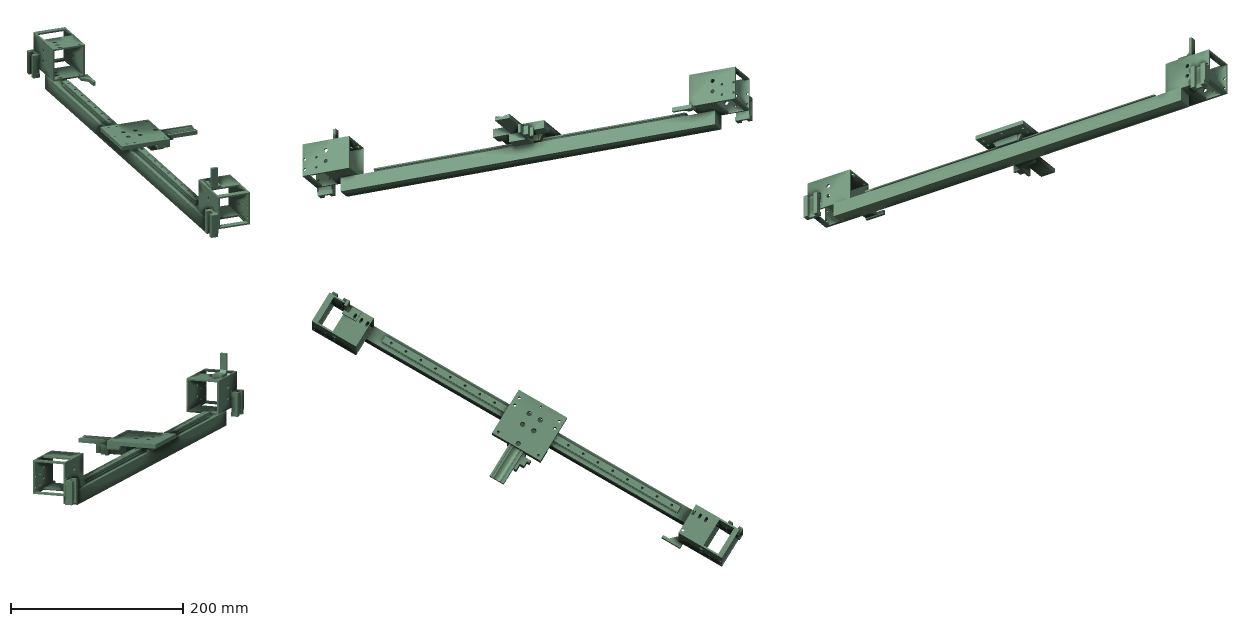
import cadquery as cq


BEAM_LENGTH = 480.0
BEAM_WIDTH = 18.0
BEAM_HEIGHT = 17.0

RAIL_LENGTH = 399.5
RAIL_WIDTH = 8.0
RAIL_HEIGHT = 6.5
RAIL_GROOVE_DEPTH = 1.0
RAIL_GROOVE_HEIGHT = 3.0
RAIL_HOLE_COUNT = 20
RAIL_HOLE_PITCH = 20.0
RAIL_HOLE_DIAMETER = 3.2
RAIL_TOP = BEAM_HEIGHT + RAIL_HEIGHT

CARRIAGE_TOP_LENGTH = 39.5
CARRIAGE_BOTTOM_LENGTH = 30.0
CARRIAGE_BODY_LENGTH = 29.0
CARRIAGE_WIDTH = 20.0
CARRIAGE_CLEARANCE = 2.0
CARRIAGE_HEIGHT = 8.0
CARRIAGE_CAP_INSET = 1.0
CARRIAGE_BOTTOM = BEAM_HEIGHT + CARRIAGE_CLEARANCE
CARRIAGE_TOP = CARRIAGE_BOTTOM + CARRIAGE_HEIGHT

PLATE_LENGTH = 65.5
PLATE_FRONT = -26.0
PLATE_BACK = 34.5
PLATE_THICKNESS = 5.0
PLATE_BACK_HOLE_Y = 30.0
PLATE_SIDE_HOLE_X = 27.0
PLATE_SIDE_HOLE_ROWS = (PLATE_BACK_HOLE_Y, -8.0, -18.0)
PLATE_SIDE_HOLE_DIAMETER = 3.2
PLATE_FRONT_HOLE_Y = -21.0
PLATE_FRONT_HOLE_DIAMETER = 2.5
PLATE_BOLT_SPACING = 15.0
PLATE_BOLT_DIAMETER = 6.0
PLATE_TOP = CARRIAGE_TOP + PLATE_THICKNESS

DOWNSTAND_BOTTOM = 22.0
DOWNSTAND_BLOCK_LENGTH = 24.5
DOWNSTAND_BLOCK_BOTTOM = 12.0
DOWNSTAND_DEPTH = 15.5

CHANNEL_WIDTH = 19.0
CHANNEL_GROOVE_WIDTH = 8.5

ARM_TIP = 79.0
ARM_THICKNESS = 5.0
ARM_GROOVE_RISE = 1.5
ARM_SLOT_WIDTH = 1.5
ARM_SLOT_DEPTH = 1.5
ARM_SLOT_X = 6.0

SWITCH_HEIGHT = 10.5
SWITCH_BOARD = ((-13.0, -9.5), (33.5, 56.0))
SWITCH_BODY = ((-18.5, -12.0), (40.5, 48.0))
SWITCH_LEG = ((-21.5, -12.0), (38.0, 41.0))

TUBE_SIZE = 40.0
TUBE_WALL = 2.0
TUBE_FRONT = -8.0
TUBE_INNER_X = 218.0
TUBE_OUTER_X = 277.0
TUBE_BACK = TUBE_FRONT + TUBE_SIZE
TUBE_TOP = BEAM_HEIGHT + TUBE_SIZE
TUBE_CENTER_Y = TUBE_FRONT + TUBE_SIZE / 2
TUBE_CENTER_Z = BEAM_HEIGHT + TUBE_SIZE / 2
TUBE_INSIDE = TUBE_SIZE - 2 * TUBE_WALL
WINDOW_LENGTH = 20.0
WINDOW_EDGE = 6.0
FLOOR_WINDOW_INSET = 1.0
SIDE_HOLE_X = 248.0
SIDE_HOLE_HEIGHTS = (31.0, 44.5)
SIDE_HOLE_DIAMETER = 5.0
TOP_SLOT_X = (221.0, 229.0, 237.5)
TOP_SLOT_Y = 2.0
TOP_SLOT_LENGTH = 6.5
SCREW_DIAMETER = 3.2

CLIP_DEPTH = 8.5
CLIP_BOTTOM = 7.0
CLIP_TOP = 35.5
CLIP_GROOVE_DEPTH = 5.0
CLIP_POCKET_DEPTH = 1.0
CLIP_POCKET_EDGE = 3.5
CLIP_POCKET_MARGIN = 5.0
CLIP_HOLE_SPACING = 15.0
CLIP_HOLE_HEIGHTS = (25.0, 38.0)
CLIP_CENTER_X = TUBE_OUTER_X - CHANNEL_WIDTH / 2

END_PLATE_THICKNESS = 1.0
END_LIP_BOTTOM = 12.0

FLAG_THICKNESS = 3.5
FLAG_WIDTH = 8.0
FLAG_FOOT_X = (233.5, 252.5)
FLAG_FOOT_Y = (-5.5, 6.5)
FLAG_TOP = 83.0
FLAG_GUSSET = 3.5
LEFT_FLAG_X = (-223.5, -198.5)
LEFT_FLAG_BACK = 38.0
LEFT_FLAG_HEIGHT = 5.0
LEFT_FLAG_EAR = (-215.5, 26.0)
LEFT_FLAG_HOLE = (-221.0, 26.5)


def box(x_range, y_range, z_range):
    """Box filling the given ranges along X, Y and Z."""
    size = [high - low for low, high in (x_range, y_range, z_range)]
    corner = (x_range[0], y_range[0], z_range[0])
    return cq.Workplane("XY").box(*size, centered=False).translate(corner)


def vertical_holes(points, diameter, bottom, top):
    """Vertical cylinders used to cut round holes."""
    plane = cq.Workplane("XY").workplane(offset=bottom)
    return plane.pushPoints(points).circle(diameter / 2).extrude(top - bottom)


def cross_holes(points, diameter):
    """Cylinders along Y through both upright walls of an end tube."""
    plane = cq.Workplane("XZ", origin=(0, TUBE_BACK, 0))
    return plane.pushPoints(points).circle(diameter / 2).extrude(TUBE_SIZE)


def mounting_slots(bottom, top):
    """Row of vertical slots, long along Y, for the screws into the beam."""
    plane = cq.Workplane("XY").workplane(offset=bottom)
    points = [(x, TOP_SLOT_Y) for x in TOP_SLOT_X]
    return plane.pushPoints(points).slot2D(TOP_SLOT_LENGTH, SCREW_DIAMETER, 90).extrude(top - bottom)


def make_beam():
    return box((-BEAM_LENGTH / 2, BEAM_LENGTH / 2), (-BEAM_WIDTH / 2, BEAM_WIDTH / 2), (0, BEAM_HEIGHT))


def make_rail():
    x_range = (-RAIL_LENGTH / 2, RAIL_LENGTH / 2)
    rail = box(x_range, (-RAIL_WIDTH / 2, RAIL_WIDTH / 2), (BEAM_HEIGHT, RAIL_TOP))
    middle = BEAM_HEIGHT + RAIL_HEIGHT / 2
    groove_z = (middle - RAIL_GROOVE_HEIGHT / 2, middle + RAIL_GROOVE_HEIGHT / 2)
    for side in (-1, 1):
        edges = (side * RAIL_WIDTH / 2, side * (RAIL_WIDTH / 2 - RAIL_GROOVE_DEPTH))
        rail = rail.cut(box(x_range, (min(edges), max(edges)), groove_z))
    first = -RAIL_HOLE_PITCH * (RAIL_HOLE_COUNT - 1) / 2
    points = [(first + i * RAIL_HOLE_PITCH, 0) for i in range(RAIL_HOLE_COUNT)]
    return rail.cut(vertical_holes(points, RAIL_HOLE_DIAMETER, BEAM_HEIGHT, RAIL_TOP))


def make_carriage():
    """Steel body between two end caps whose outer ends slope inwards going down."""
    half_body = CARRIAGE_BODY_LENGTH / 2
    half_width = CARRIAGE_WIDTH / 2
    body = box((-half_body, half_body), (-half_width, half_width), (CARRIAGE_BOTTOM, CARRIAGE_TOP))
    cap_width = CARRIAGE_WIDTH - 2 * CARRIAGE_CAP_INSET
    caps = (
        cq.Workplane("XZ", origin=(0, cap_width / 2, 0))
        .moveTo(-CARRIAGE_BOTTOM_LENGTH / 2, CARRIAGE_BOTTOM)
        .lineTo(CARRIAGE_BOTTOM_LENGTH / 2, CARRIAGE_BOTTOM)
        .lineTo(CARRIAGE_TOP_LENGTH / 2, CARRIAGE_TOP)
        .lineTo(-CARRIAGE_TOP_LENGTH / 2, CARRIAGE_TOP)
        .close()
        .extrude(cap_width)
    )
    return body.union(caps)


def make_plate():
    """Carriage plate with its holes and the strip and block below its back edge."""
    x_range = (-PLATE_LENGTH / 2, PLATE_LENGTH / 2)
    plate = box(x_range, (PLATE_FRONT, PLATE_BACK), (CARRIAGE_TOP, PLATE_TOP))
    side_points = [(side * PLATE_SIDE_HOLE_X, y) for side in (-1, 1) for y in PLATE_SIDE_HOLE_ROWS]
    half = PLATE_BOLT_SPACING / 2
    bolt_points = [(x, y) for x in (-half, half) for y in (-half, half)]
    bolt_points.append((0, PLATE_BACK_HOLE_Y))
    front_points = [(0, PLATE_FRONT_HOLE_Y)]
    for points, diameter in (
        (side_points, PLATE_SIDE_HOLE_DIAMETER),
        (bolt_points, PLATE_BOLT_DIAMETER),
        (front_points, PLATE_FRONT_HOLE_DIAMETER),
    ):
        plate = plate.cut(vertical_holes(points, diameter, CARRIAGE_TOP, PLATE_TOP))
    y_range = (PLATE_BACK - DOWNSTAND_DEPTH, PLATE_BACK)
    block_x = (-DOWNSTAND_BLOCK_LENGTH / 2, DOWNSTAND_BLOCK_LENGTH / 2)
    strip = box(x_range, y_range, (DOWNSTAND_BOTTOM, CARRIAGE_TOP))
    block = box(block_x, y_range, (DOWNSTAND_BLOCK_BOTTOM, CARRIAGE_TOP))
    return plate.union(strip).union(block)


def make_arm():
    """Flat channel with a shallow round groove along its top and a slot on either side."""
    top = CARRIAGE_TOP
    half_groove = CHANNEL_GROOVE_WIDTH / 2
    length = ARM_TIP - PLATE_BACK
    arm = box((-CHANNEL_WIDTH / 2, CHANNEL_WIDTH / 2), (PLATE_BACK, ARM_TIP), (top - ARM_THICKNESS, top))
    groove = (
        cq.Workplane("XZ", origin=(0, ARM_TIP, 0))
        .moveTo(-half_groove, top)
        .threePointArc((0, top - ARM_GROOVE_RISE), (half_groove, top))
        .close()
        .extrude(length)
    )
    arm = arm.cut(groove)
    for side in (-1, 1):
        center = side * ARM_SLOT_X
        slot_x = (center - ARM_SLOT_WIDTH / 2, center + ARM_SLOT_WIDTH / 2)
        arm = arm.cut(box(slot_x, (PLATE_BACK, ARM_TIP), (top - ARM_SLOT_DEPTH, top)))
    return arm


def make_switch():
    z_range = (DOWNSTAND_BLOCK_BOTTOM, DOWNSTAND_BLOCK_BOTTOM + SWITCH_HEIGHT)
    switch = box(*SWITCH_BOARD, z_range)
    for x_range, y_range in (SWITCH_BODY, SWITCH_LEG):
        switch = switch.union(box(x_range, y_range, z_range))
    return switch


def make_clip():
    """Upright channel, open to the front, on the right tube, with a shallow pocket in each side."""
    half = CHANNEL_WIDTH / 2
    half_groove = CHANNEL_GROOVE_WIDTH / 2
    front = TUBE_FRONT - CLIP_DEPTH
    clip = box((CLIP_CENTER_X - half, CLIP_CENTER_X + half), (front, TUBE_FRONT), (CLIP_BOTTOM, CLIP_TOP))
    groove = box(
        (CLIP_CENTER_X - half_groove, CLIP_CENTER_X + half_groove),
        (front, front + CLIP_GROOVE_DEPTH),
        (CLIP_BOTTOM, CLIP_TOP),
    )
    clip = clip.cut(groove)
    pocket_y = (front + CLIP_POCKET_EDGE, TUBE_FRONT)
    pocket_z = (CLIP_BOTTOM + CLIP_POCKET_MARGIN, CLIP_TOP - CLIP_POCKET_MARGIN)
    for side in (-1, 1):
        edges = (CLIP_CENTER_X + side * half, CLIP_CENTER_X + side * (half - CLIP_POCKET_DEPTH))
        clip = clip.cut(box((min(edges), max(edges)), pocket_y, pocket_z))
    return clip


def make_tube():
    """Right end tube with its windows, holes and clip."""
    outside = cq.Workplane("YZ", origin=(TUBE_INNER_X, TUBE_CENTER_Y, TUBE_CENTER_Z))
    tube = (
        outside.rect(TUBE_SIZE, TUBE_SIZE).rect(TUBE_INSIDE, TUBE_INSIDE).extrude(TUBE_OUTER_X - TUBE_INNER_X)
    )
    window_end = TUBE_OUTER_X - WINDOW_EDGE
    window_x = (window_end - WINDOW_LENGTH, window_end)
    inside_y = (TUBE_FRONT + TUBE_WALL, TUBE_BACK - TUBE_WALL)
    top_window = box(window_x, inside_y, (TUBE_CENTER_Z, TUBE_TOP))
    floor_window_y = (inside_y[0], inside_y[1] - FLOOR_WINDOW_INSET)
    floor_window = box(window_x, floor_window_y, (BEAM_HEIGHT, TUBE_CENTER_Z))
    side_points = [(SIDE_HOLE_X, z) for z in SIDE_HOLE_HEIGHTS]
    half_spacing = CLIP_HOLE_SPACING / 2
    clip_columns = (CLIP_CENTER_X - half_spacing, CLIP_CENTER_X + half_spacing)
    clip_points = [(x, z) for x in clip_columns for z in CLIP_HOLE_HEIGHTS]
    tube = tube.cut(top_window).cut(floor_window)
    tube = tube.cut(cross_holes(side_points, SIDE_HOLE_DIAMETER))
    tube = tube.cut(cross_holes(clip_points, SCREW_DIAMETER))
    tube = tube.cut(mounting_slots(BEAM_HEIGHT, TUBE_TOP))
    return tube.union(make_clip())


def make_end_plate():
    """Thin frame on the right tube's rim, with a lip behind the clip."""
    x_range = (TUBE_OUTER_X, TUBE_OUTER_X + END_PLATE_THICKNESS)
    frame = box(x_range, (TUBE_FRONT, TUBE_BACK), (BEAM_HEIGHT, TUBE_TOP))
    lip = box(x_range, (TUBE_FRONT - CLIP_DEPTH, TUBE_FRONT), (END_LIP_BOTTOM, CLIP_TOP))
    opening = box(
        x_range,
        (TUBE_FRONT + TUBE_WALL, TUBE_BACK - TUBE_WALL),
        (BEAM_HEIGHT + TUBE_WALL, TUBE_TOP - TUBE_WALL),
    )
    return frame.cut(opening).union(lip)


def make_right_flag():
    """Upright blade on a foot, braced at the bend, on top of the right tube."""
    foot_top = TUBE_TOP + FLAG_THICKNESS
    blade_x = FLAG_FOOT_X[1] - FLAG_THICKNESS
    blade_y = (FLAG_FOOT_Y[0], FLAG_FOOT_Y[0] + FLAG_WIDTH)
    foot = box(FLAG_FOOT_X, FLAG_FOOT_Y, (TUBE_TOP, foot_top))
    foot = foot.cut(mounting_slots(TUBE_TOP, foot_top))
    blade = box((blade_x, FLAG_FOOT_X[1]), blade_y, (TUBE_TOP, FLAG_TOP))
    gusset = (
        cq.Workplane("XZ", origin=(0, blade_y[1], 0))
        .moveTo(blade_x, foot_top)
        .lineTo(blade_x - FLAG_GUSSET, foot_top)
        .lineTo(blade_x, foot_top + FLAG_GUSSET)
        .close()
        .extrude(FLAG_WIDTH)
    )
    return foot.union(blade).union(gusset)


def make_left_flag():
    """Blade along X below the back edge of the left tube, with a tapered ear under the tube."""
    ear_x, ear_y = LEFT_FLAG_EAR
    blade_front = LEFT_FLAG_BACK - FLAG_THICKNESS
    flag_bottom = BEAM_HEIGHT - LEFT_FLAG_HEIGHT
    ear_bottom = BEAM_HEIGHT - FLAG_THICKNESS
    blade = box(LEFT_FLAG_X, (blade_front, LEFT_FLAG_BACK), (flag_bottom, BEAM_HEIGHT))
    ear = (
        cq.Workplane("XY", origin=(0, 0, ear_bottom))
        .moveTo(LEFT_FLAG_X[0], blade_front)
        .lineTo(LEFT_FLAG_X[0], ear_y)
        .lineTo(ear_x, ear_y)
        .lineTo(ear_x + blade_front - ear_y, blade_front)
        .close()
        .extrude(FLAG_THICKNESS)
    )
    return blade.union(ear)


right_tube = make_tube()
left_tube = right_tube.mirror("YZ")

result = make_beam()
for piece in (
    make_rail(),
    make_carriage(),
    make_plate(),
    make_arm(),
    make_switch(),
    left_tube,
    right_tube,
    make_end_plate(),
    make_left_flag(),
    make_right_flag(),
):
    result = result.union(piece)
result = result.cut(vertical_holes([LEFT_FLAG_HOLE], SCREW_DIAMETER, 0, TUBE_TOP))